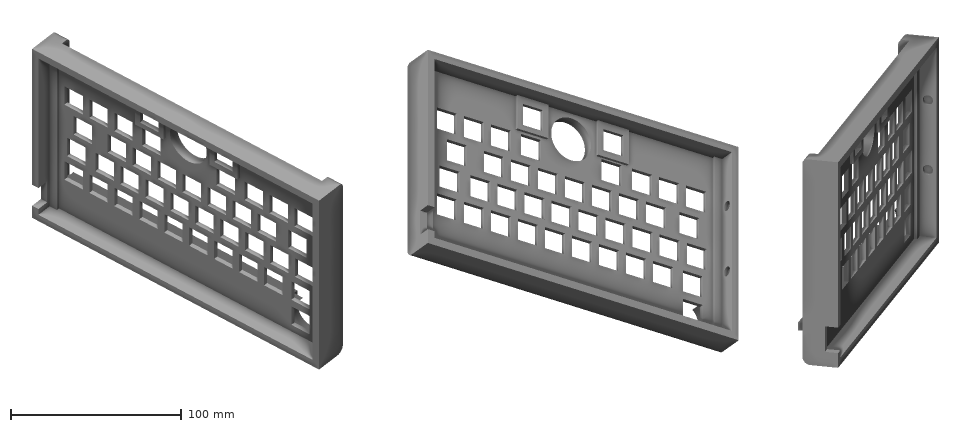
import cadquery as cq

WIDTH = 219.2
HEIGHT = 129.0
CASE_DEPTH = 22.0
WALL = 4.8
TOP_EDGE_RADIUS = 3.0
BOTTOM_EDGE_RADIUS = 5.0

PLATE_FRONT = 12.3
PLATE_BACK = 15.1
SIDE_BORDER = 10.3
LEDGE_FRONT = 10.3
PALM_REST_TOP = 24.8

KEY_SIZE = 14.0
KEY_PITCH = 19.0
BOTTOM_ROW_Z = 16.9
KEY_ROWS = 6
TOP_ROW_Z = BOTTOM_ROW_Z + (KEY_ROWS - 1) * KEY_PITCH
LEFT_KEY_X = 21.5
RIGHT_KEY_X = 197.3
CORNER_KEY_X = 194.9
INNER_KEY_X = (81.0, 137.7)
THIRD_ROW_EDGE_X = 23.5
THIRD_ROW_RUN_X = 45.2
FOURTH_ROW_EDGES_X = (28.5, 192.5)
FOURTH_ROW_RUN_X = 54.5
KEY_RELIEF_DIAMETER = 20.0

PAD_WIDTH = 21.7
PAD_BOTTOMS = (101.7, 101.0)
PAD_THICKNESS = 2.5
PAD_POCKET_SIZE = 17.8

BALL_X = 109.2
BALL_Z = 107.0
BALL_HOLE_DIAMETER = 28.0
COLLAR_BASE_DIAMETER = 30.3
COLLAR_TOP_DIAMETER = 28.7
COLLAR_HEIGHT = 3.7

BAR_LEFT = 9.2
BAR_RIGHT = 180.2
BAR_BOTTOM = 17.5
BAR_TOP = 22.5
BAR_HEIGHT = 5.0

NOTCH_BOTTOM = 9.2
NOTCH_TOP = 25.2
NOTCH_DEPTH = 8.1

SIDE_HOLE_DIAMETER = 6.1
SIDE_HOLE_DEPTH = 2.5
SIDE_HOLE_Y = 5.3
SIDE_HOLE_Z = (47.0, 90.5)


def block(x, y, z):
    """Box between the (low, high) limits given for each axis."""
    size = [high - low for low, high in (x, y, z)]
    return cq.Workplane("XY").box(*size, centered=False).translate((x[0], y[0], z[0]))


def plane_facing_back(x, y, z):
    """Work plane at a point, extruding toward +Y."""
    return cq.Workplane(cq.Plane(origin=(x, y, z), xDir=(1, 0, 0), normal=(0, 1, 0)))


def key_run(first_x, count):
    """Centres of evenly pitched keys, starting at the leftmost."""
    return [first_x + KEY_PITCH * i for i in range(count)]


def key_centres():
    """(x, z) centres of all key openings; rows are listed from the bottom up."""
    rows = [
        [CORNER_KEY_X],
        key_run(LEFT_KEY_X, 9) + [CORNER_KEY_X],
        [THIRD_ROW_EDGE_X] + key_run(THIRD_ROW_RUN_X, 9),
        key_run(FOURTH_ROW_RUN_X, 7) + list(FOURTH_ROW_EDGES_X),
        key_run(LEFT_KEY_X, 3) + list(INNER_KEY_X) + key_run(RIGHT_KEY_X - 2 * KEY_PITCH, 3),
        list(INNER_KEY_X),
    ]
    return [(x, BOTTOM_ROW_Z + KEY_PITCH * row) for row, xs in enumerate(rows) for x in xs]


def make_case():
    case = block((0, WIDTH), (0, CASE_DEPTH), (0, HEIGHT))
    case = case.edges(">Y and >Z").fillet(TOP_EDGE_RADIUS)
    case = case.edges(">Y and <Z").fillet(BOTTOM_EDGE_RADIUS)

    inside_x = (WALL, WIDTH - WALL)
    inside_z = (WALL, HEIGHT - WALL)
    field_x = (SIDE_BORDER, WIDTH - SIDE_BORDER)
    case = case.cut(block(inside_x, (0, LEDGE_FRONT), inside_z))
    case = case.cut(block(field_x, (0, PLATE_FRONT), inside_z))
    return case.cut(block(field_x, (PLATE_BACK, CASE_DEPTH), (PALM_REST_TOP, HEIGHT)))


def add_pads(case):
    half = PAD_POCKET_SIZE / 2
    pocket_y = (LEDGE_FRONT + PAD_THICKNESS, PLATE_BACK)
    pocket_z = (TOP_ROW_Z - half, TOP_ROW_Z + half)
    for x, bottom in zip(INNER_KEY_X, PAD_BOTTOMS):
        pad_x = (x - PAD_WIDTH / 2, x + PAD_WIDTH / 2)
        case = case.union(block(pad_x, (LEDGE_FRONT, PLATE_FRONT), (bottom, HEIGHT - WALL)))
        case = case.cut(block((x - half, x + half), pocket_y, pocket_z))
    return case


def cut_keys(case):
    half = KEY_SIZE / 2
    for x, z in key_centres():
        case = case.cut(block((x - half, x + half), (0, CASE_DEPTH), (z - half, z + half)))
    relief = plane_facing_back(CORNER_KEY_X, PLATE_BACK, BOTTOM_ROW_Z)
    return case.cut(relief.circle(KEY_RELIEF_DIAMETER / 2).extrude(CASE_DEPTH - PLATE_BACK))


def add_trackball_socket(case):
    collar = (
        plane_facing_back(BALL_X, PLATE_BACK, BALL_Z)
        .circle(COLLAR_BASE_DIAMETER / 2)
        .workplane(offset=COLLAR_HEIGHT)
        .circle(COLLAR_TOP_DIAMETER / 2)
        .loft()
    )
    hole = plane_facing_back(BALL_X, 0, BALL_Z).circle(BALL_HOLE_DIAMETER / 2).extrude(CASE_DEPTH)
    return case.union(collar).cut(hole)


def add_bar(case):
    bar_y = (CASE_DEPTH, CASE_DEPTH + BAR_HEIGHT)
    return case.union(block((BAR_LEFT, BAR_RIGHT), bar_y, (BAR_BOTTOM, BAR_TOP)))


def cut_wall_openings(case):
    case = case.cut(block((0, WALL), (0, NOTCH_DEPTH), (NOTCH_BOTTOM, NOTCH_TOP)))
    holes = (
        cq.Workplane("YZ", origin=(WIDTH - WALL, 0, 0))
        .pushPoints([(SIDE_HOLE_Y, z) for z in SIDE_HOLE_Z])
        .circle(SIDE_HOLE_DIAMETER / 2)
        .extrude(SIDE_HOLE_DEPTH)
    )
    return case.cut(holes)


body = make_case()
body = add_pads(body)
body = cut_keys(body)
body = add_trackball_socket(body)
body = add_bar(body)
result = cut_wall_openings(body)